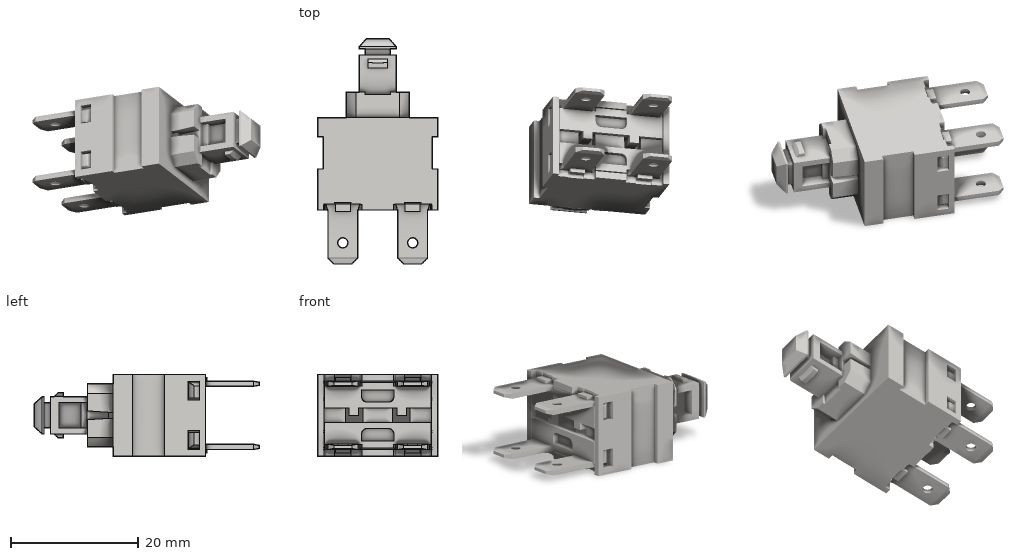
import cadquery as cq


HOUSING_WIDTH = 18.9
HOUSING_HEIGHT = 12.9
HOUSING_LENGTH = 14.5
SIDE_NOTCH_DEPTH = 0.9
SIDE_NOTCH_START = 6.48
SIDE_NOTCH_END = 11.5

COLLAR_SIZE = 9.95
COLLAR_CHAMFER = 1.52
COLLAR_LENGTH = 4.05
COLLAR_NOTCH_DEPTH = 0.42
COLLAR_SLOT_MOUTH = 1.38
COLLAR_SLOT_ROOT = 0.95
COLLAR_SLOT_STEP = 0.75

STEM_SIZE = 5.88
STEM_LENGTH = 5.85
NECK_SIZE = 3.95
NECK_LENGTH = 0.95
HEAD_RIM = 0.32
HEAD_TAPER_LENGTH = 1.27
HEAD_TOP_SIZE = 3.58
STEM_WINDOW_LENGTH = 4.4
STEM_WINDOW_MARGIN = 0.07
STEM_WINDOW_DEPTH = 2.0
STEM_LEDGE_LENGTH = 0.95
STEM_LEDGE_HEIGHT = 1.0

BARB_WIDTH = 3.1
BARB_LENGTH = 1.4
BARB_HEIGHT = 0.65
BARB_CROWN = 0.1
BARB_RAMP_LENGTH = 0.65
BARB_END_GAP = 0.65

FRAME_WIDTH = 16.92
FRAME_HEIGHT = 10.75
BASE_WIDTH = 16.67
BASE_HEIGHT = 10.35
BASE_STEP = 0.9
CENTER_GAP = 2.23
GAP_WELL_WIDTH = 2.75
GAP_WELL_DEPTH = 3.0
GAP_WELL_X = 3.68
TOOTH_WIDTH = 1.52
TOOTH_HEIGHT = 1.17
TOOTH_X = 3.8
FINGER_POCKET_WIDTH = 5.05
FINGER_POCKET_INNER = 2.05
FINGER_POCKET_OUTER = 4.0
FINGER_POCKET_RADIUS = 0.9
FINGER_POCKET_DEPTH = 0.95

BLADE_X = 5.5
BLADE_OUTER_Z = FRAME_HEIGHT / 2
BLADE_THICKNESS = 0.85
BLADE_WIDTH = 4.7
BLADE_LENGTH = 8.45
BLADE_SHOULDER_WIDTH = 5.35
BLADE_SHOULDER_Y = -0.1
BLADE_ROOT = 0.35
TIP_LENGTH = 0.95
TIP_WIDTH = 2.83
TIP_THICKNESS = 0.5
BLADE_HOLE_DIAMETER = 1.55
BLADE_HOLE_Y = -5.15
RECESS_WIDTH = 6.0
RECESS_DEPTH = 0.95
RECESS_FLOOR_Z = 4.6
RECESS_CORNER_RADIUS = 0.3
TAB_WIDTH = 2.37
TAB_HEIGHT = 0.55
TAB_FRONT = -0.2
TAB_NOTCH_WIDTH = 2.6
TAB_NOTCH_DEPTH = 1.17

LATCH_Y_START = 0.95
LATCH_Y_END = 2.8
LATCH_Z_INNER = 2.37
LATCH_Z_OUTER = 5.35
BUMP_Z_INNER = 2.7
BUMP_Z_CREST = 4.65
BUMP_Z_FOOT = 5.2
BUMP_Y_CREST = 1.8
BUMP_Y_FOOT = 2.65
BUMP_CREST_DEPTH = 0.45

COLLAR_END = HOUSING_LENGTH + COLLAR_LENGTH
STEM_END = COLLAR_END + STEM_LENGTH
NECK_END = STEM_END + NECK_LENGTH
RIM_END = NECK_END + HEAD_RIM


def block(x_range, y_range, z_range):
    """Box between the given limits; each range may be listed in either order."""
    ranges = (x_range, y_range, z_range)
    sizes = [abs(end - start) for start, end in ranges]
    middles = [(start + end) / 2 for start, end in ranges]
    return cq.Workplane("XY").box(*sizes).translate(tuple(middles))


def centered(width, middle=0):
    """Range of the given width about a middle value."""
    return middle - width / 2, middle + width / 2


def both_z(shape):
    """The shape together with its mirror image below Z = 0."""
    return shape.union(shape.mirror("XY"))


def both_x(shape):
    """The shape together with its mirror image across X = 0."""
    return shape.union(shape.mirror("YZ"))


def make_housing():
    body = block(centered(HOUSING_WIDTH), (0, HOUSING_LENGTH), centered(HOUSING_HEIGHT))
    notch = block(
        (HOUSING_WIDTH / 2 - SIDE_NOTCH_DEPTH, HOUSING_WIDTH / 2),
        (SIDE_NOTCH_START, SIDE_NOTCH_END),
        centered(HOUSING_HEIGHT),
    )
    return body.cut(both_x(notch))


def make_collar():
    body = block(centered(COLLAR_SIZE), (HOUSING_LENGTH, COLLAR_END), centered(COLLAR_SIZE))
    body = body.edges("|Y").chamfer(COLLAR_CHAMFER)
    end_notch = block(
        centered(NECK_SIZE), (COLLAR_END - COLLAR_NOTCH_DEPTH, COLLAR_END), centered(COLLAR_SIZE)
    )
    slot_root_y = HOUSING_LENGTH + COLLAR_SLOT_STEP
    wall = (COLLAR_SIZE - STEM_SIZE) / 2
    slot = (
        cq.Workplane("YZ", origin=(STEM_SIZE / 2, 0, 0))
        .moveTo(slot_root_y, -COLLAR_SLOT_ROOT / 2)
        .lineTo(COLLAR_END, -COLLAR_SLOT_MOUTH / 2)
        .lineTo(COLLAR_END, COLLAR_SLOT_MOUTH / 2)
        .lineTo(slot_root_y, COLLAR_SLOT_ROOT / 2)
        .close()
        .extrude(wall)
    )
    slot_step = block(
        (COLLAR_SIZE / 2 - wall / 2, COLLAR_SIZE / 2),
        (HOUSING_LENGTH, slot_root_y),
        centered(COLLAR_SLOT_ROOT),
    )
    return body.cut(end_notch).cut(both_x(slot.union(slot_step)))


def make_stem():
    half = STEM_SIZE / 2
    stem = block(centered(STEM_SIZE), (HOUSING_LENGTH, STEM_END), centered(STEM_SIZE))
    window_start = COLLAR_END + STEM_WINDOW_MARGIN
    window = block(
        (half - STEM_WINDOW_DEPTH, half),
        (window_start, window_start + STEM_WINDOW_LENGTH),
        centered(NECK_SIZE),
    )
    ledge = block(
        (half - STEM_WINDOW_DEPTH, half - STEM_WINDOW_DEPTH + STEM_LEDGE_HEIGHT),
        (window_start, window_start + STEM_LEDGE_LENGTH),
        centered(NECK_SIZE),
    )
    return stem.cut(both_x(window.cut(ledge)))


def make_head():
    neck = block(centered(NECK_SIZE), (STEM_END, NECK_END), centered(NECK_SIZE))
    rim = block(centered(STEM_SIZE), (NECK_END, RIM_END), centered(STEM_SIZE))
    taper = (
        cq.Workplane("XZ", origin=(0, RIM_END, 0))
        .rect(STEM_SIZE, STEM_SIZE)
        .workplane(offset=-HEAD_TAPER_LENGTH)
        .rect(HEAD_TOP_SIZE, HEAD_TOP_SIZE)
        .loft()
    )
    return neck.union(rim).union(taper)


def make_barbs():
    """Crowned ramps that rise from the stem toward the housing."""
    foot_z = STEM_SIZE / 2
    shoulder_z = foot_z + BARB_HEIGHT - BARB_CROWN
    top_z = foot_z + BARB_HEIGHT
    tip_y = STEM_END - BARB_END_GAP
    heel_y = tip_y - BARB_LENGTH
    crowned_bar = (
        cq.Workplane("XZ", origin=(0, heel_y, 0))
        .moveTo(-BARB_WIDTH / 2, foot_z)
        .lineTo(-BARB_WIDTH / 2, shoulder_z)
        .threePointArc((0, top_z), (BARB_WIDTH / 2, shoulder_z))
        .lineTo(BARB_WIDTH / 2, foot_z)
        .close()
        .extrude(-BARB_LENGTH)
    )
    ramp_profile = (
        cq.Workplane("YZ")
        .polyline(
            [(heel_y, foot_z), (tip_y, foot_z), (tip_y - BARB_RAMP_LENGTH, top_z), (heel_y, top_z)]
        )
        .close()
        .extrude(BARB_WIDTH / 2, both=True)
    )
    return both_z(crowned_bar.intersect(ramp_profile))


def make_base_cuts():
    """Seam around the base, the gap between its two halves and the finger pockets."""
    seam = block(centered(FRAME_WIDTH), (0, BASE_STEP), centered(FRAME_HEIGHT)).cut(
        block(centered(BASE_WIDTH), (0, BASE_STEP), centered(BASE_HEIGHT))
    )
    gap = block(centered(BASE_WIDTH), (0, BASE_STEP), centered(CENTER_GAP))
    for side in (-1, 1):
        well = block(
            centered(GAP_WELL_WIDTH, side * GAP_WELL_X), (0, GAP_WELL_DEPTH), centered(CENTER_GAP)
        )
        gap = gap.union(well)
    for side in (-1, 1):
        tooth = block(
            centered(TOOTH_WIDTH, side * TOOTH_X),
            (0, GAP_WELL_DEPTH),
            (CENTER_GAP / 2 - TOOTH_HEIGHT, CENTER_GAP / 2),
        )
        gap = gap.cut(tooth)
    pocket = block(
        centered(FINGER_POCKET_WIDTH),
        (0, FINGER_POCKET_DEPTH),
        (FINGER_POCKET_INNER, FINGER_POCKET_OUTER),
    )
    pocket = pocket.edges("|Y and <Z").fillet(FINGER_POCKET_RADIUS)
    return seam.union(gap).union(both_z(pocket))


def make_blade_recess():
    """Opening around the +X, +Z blade, with a notch behind its tab."""
    z_range = (RECESS_FLOOR_Z, HOUSING_HEIGHT / 2)
    recess = block(centered(RECESS_WIDTH, BLADE_X), (0, RECESS_DEPTH), z_range)
    recess = recess.edges("|Z and >Y").fillet(RECESS_CORNER_RADIUS)
    notch = block(
        centered(TAB_NOTCH_WIDTH, BLADE_X), (0, TAB_NOTCH_DEPTH), (BLADE_OUTER_Z, HOUSING_HEIGHT / 2)
    )
    return recess.union(notch)


def make_blade():
    """The +X, +Z blade with its shoulder, tapered tip, hole and tab."""
    middle_z = BLADE_OUTER_Z - BLADE_THICKNESS / 2
    tip_y = TIP_LENGTH - BLADE_LENGTH
    half_outline = [
        (BLADE_SHOULDER_WIDTH / 2, RECESS_DEPTH + BLADE_ROOT),
        (BLADE_SHOULDER_WIDTH / 2, RECESS_DEPTH),
        (BLADE_WIDTH / 2, BLADE_SHOULDER_Y),
        (BLADE_WIDTH / 2, tip_y),
    ]
    other_half = [(-x, y) for x, y in reversed(half_outline)]
    blade = (
        cq.Workplane("XY", origin=(BLADE_X, 0, middle_z))
        .polyline(half_outline + other_half)
        .close()
        .extrude(BLADE_THICKNESS / 2, both=True)
    )
    tip = (
        cq.Workplane("XZ", origin=(BLADE_X, tip_y, middle_z))
        .rect(BLADE_WIDTH, BLADE_THICKNESS)
        .workplane(offset=TIP_LENGTH)
        .rect(TIP_WIDTH, TIP_THICKNESS)
        .loft()
    )
    hole = (
        cq.Workplane("XY", origin=(BLADE_X, BLADE_HOLE_Y, middle_z))
        .circle(BLADE_HOLE_DIAMETER / 2)
        .extrude(BLADE_THICKNESS, both=True)
    )
    tab = block(
        centered(TAB_WIDTH, BLADE_X),
        (TAB_FRONT, RECESS_DEPTH),
        (BLADE_OUTER_Z, BLADE_OUTER_Z + TAB_HEIGHT),
    )
    return blade.union(tip).cut(hole).union(tab)


def make_latch_window():
    """Opening in the +X wall above Z = 0, less the latch bump that stands inside it."""
    wall_x = HOUSING_WIDTH / 2
    floor_x = BASE_WIDTH / 2
    crest_x = wall_x - BUMP_CREST_DEPTH
    window = block((floor_x, wall_x), (LATCH_Y_START, LATCH_Y_END), (LATCH_Z_INNER, LATCH_Z_OUTER))
    plan = (
        cq.Workplane("XY")
        .polyline(
            [
                (floor_x, LATCH_Y_START),
                (crest_x, LATCH_Y_START),
                (crest_x, BUMP_Y_CREST),
                (floor_x, BUMP_Y_FOOT),
            ]
        )
        .close()
        .extrude(HOUSING_HEIGHT / 2)
    )
    section = (
        cq.Workplane("XZ")
        .polyline(
            [
                (floor_x, BUMP_Z_INNER),
                (crest_x, BUMP_Z_INNER),
                (crest_x, BUMP_Z_CREST),
                (floor_x, BUMP_Z_FOOT),
            ]
        )
        .close()
        .extrude(-HOUSING_LENGTH)
    )
    return window.cut(plan.intersect(section))


housing = make_housing().cut(make_base_cuts())
housing = housing.cut(both_x(both_z(make_blade_recess())))
housing = housing.cut(both_x(both_z(make_latch_window())))
plunger = make_stem().union(make_head()).union(make_barbs())
blades = both_x(both_z(make_blade()))
result = housing.union(make_collar().union(plunger)).union(blades)